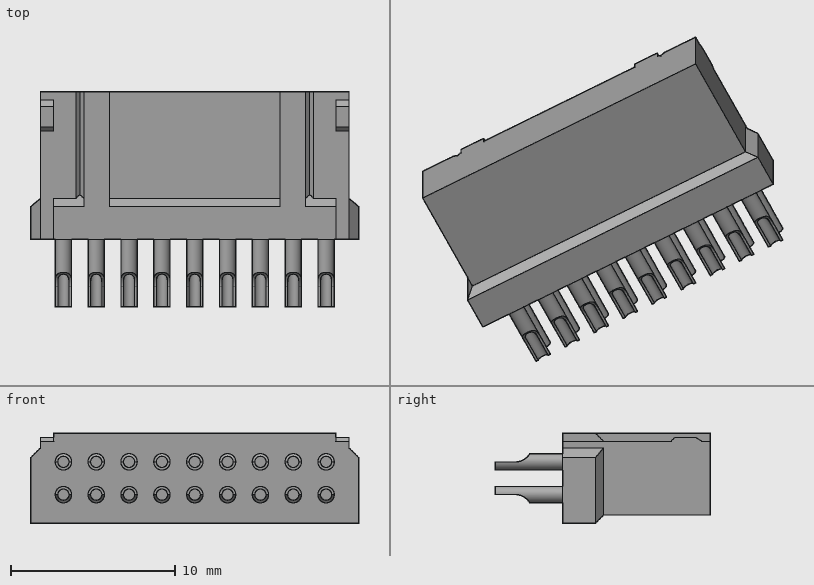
import cadquery as cq
import math

body_width = 18.8
body_length = 9.0
body_bottom = 0.5
body_top = 5.0

flange_width = 20.0
flange_length = 2.5
flange_side_step = (flange_width - body_width) / 2
flange_bevel = 0.5
flange_shoulder = 4.0

frame_top = 5.5
bar_half_width = 8.6
rail_inner = 5.2
rail_outer = 6.75
frame_height = frame_top - body_top

groove_width = 0.48
groove_depth = groove_width / 2

bump_width = body_width / 2 - bar_half_width
bump_front = 6.6
bump_rear = 8.5
bump_height = 0.25
bump_front_slope = 0.25
bump_rear_slope = 0.4

pins_per_row = 9
pin_pitch = 2.0
row_middle = (body_bottom + body_top) / 2
pin_diameter = 1.0
pin_length = 4.1
cup_diameter = 0.68
cup_depth = 2.5
scoop_start = 2.0
scoop_radius = 1.0


def prism_along_x(points, x_start, x_end):
    """Extrude an outline of (y, z) points from x_start to x_end."""
    outline = cq.Workplane("YZ", origin=(x_start, 0, 0)).polyline(points).close()
    return outline.extrude(x_end - x_start)


def prism_along_y(points, length):
    """Extrude an outline of (x, z) points from the front face towards +Y."""
    return cq.Workplane("XZ").polyline(points).close().extrude(-length)


def mirrored(half):
    """Join a feature on the -X side with its mirror image on the +X side."""
    return half.union(half.mirror("YZ"))


def make_body():
    height = body_top - body_bottom
    block = cq.Workplane("XY").box(body_width, body_length, height, centered=(True, False, False))
    return block.translate((0, 0, body_bottom))


def make_flange():
    outer = flange_width / 2
    inner = body_width / 2
    bevel_start = flange_length - flange_bevel
    chamfer_top = flange_shoulder + flange_side_step

    front = prism_along_y(
        [
            (-outer, 0),
            (outer, 0),
            (outer, flange_shoulder),
            (inner, chamfer_top),
            (inner, body_top),
            (-inner, body_top),
            (-inner, chamfer_top),
            (-outer, flange_shoulder),
        ],
        flange_length,
    )
    plan = (
        cq.Workplane("XY")
        .polyline(
            [
                (-outer, 0),
                (outer, 0),
                (outer, bevel_start),
                (inner, flange_length),
                (-inner, flange_length),
                (-outer, bevel_start),
            ]
        )
        .close()
        .extrude(body_top)
    )
    side = prism_along_x(
        [
            (0, 0),
            (bevel_start, 0),
            (flange_length, body_bottom),
            (flange_length, body_top),
            (0, body_top),
        ],
        -outer,
        outer,
    )
    return front.intersect(plan).intersect(side)


def make_frame():
    bar = prism_along_x(
        [
            (0, body_top),
            (flange_length, body_top),
            (flange_length - frame_height, frame_top),
            (0, frame_top),
        ],
        -bar_half_width,
        bar_half_width,
    )
    rail = cq.Workplane("XY").box(rail_outer - rail_inner, body_length, frame_height, centered=False)
    return bar.union(mirrored(rail.translate((-rail_outer, 0, body_top))))


def make_grooves():
    """V-grooves ending at the front in the continued slope of the front bar."""
    groove = prism_along_y(
        [
            (-rail_outer - groove_width, body_top),
            (-rail_outer, body_top),
            (-rail_outer - groove_width / 2, body_top - groove_depth),
        ],
        body_length,
    )
    reach = prism_along_x(
        [
            (flange_length, body_top),
            (body_length, body_top),
            (body_length, body_top - groove_depth),
            (flange_length + groove_depth, body_top - groove_depth),
        ],
        -body_width / 2,
        0,
    )
    return mirrored(groove.intersect(reach))


def make_bumps():
    bump = prism_along_x(
        [
            (bump_front, body_top),
            (bump_rear, body_top),
            (bump_rear - bump_rear_slope, body_top + bump_height),
            (bump_front + bump_front_slope, body_top + bump_height),
        ],
        -body_width / 2,
        -body_width / 2 + bump_width,
    )
    return mirrored(bump)


def make_pin():
    """Pin on the Y axis, pointing to -Y, with its solder cup open towards +Z."""
    radius = pin_diameter / 2
    rise = scoop_radius - radius
    run = math.sqrt(scoop_radius**2 - rise**2)
    scoop_end = scoop_start + run
    mid_angle = (math.pi / 2 + math.atan2(rise, run)) / 2
    arc_middle = (
        -scoop_end + scoop_radius * math.cos(mid_angle),
        scoop_radius - scoop_radius * math.sin(mid_angle),
    )

    pin = cq.Workplane("XZ").circle(radius).extrude(pin_length)
    cup = cq.Workplane("XZ", origin=(0, -pin_length, 0)).circle(cup_diameter / 2).extrude(-cup_depth)
    scoop = (
        cq.Workplane("YZ")
        .moveTo(-pin_length, radius)
        .lineTo(-scoop_start, radius)
        .threePointArc(arc_middle, (-scoop_end, 0))
        .lineTo(-pin_length, 0)
        .close()
        .extrude(radius, both=True)
    )
    return pin.cut(cup).cut(scoop)


def add_pins(housing):
    """Add both rows; the lower cups open downwards, the upper ones upwards."""
    lower_height = row_middle - pin_pitch / 2
    upper_height = row_middle + pin_pitch / 2
    upper_pin = make_pin()
    lower_pin = upper_pin.mirror("XY")
    for index in range(pins_per_row):
        x = (index - (pins_per_row - 1) / 2) * pin_pitch
        housing = housing.union(lower_pin.translate((x, 0, lower_height)))
        housing = housing.union(upper_pin.translate((x, 0, upper_height)))
    return housing


housing = make_body().union(make_flange()).union(make_frame()).union(make_bumps())
housing = housing.cut(make_grooves())
result = add_pins(housing)